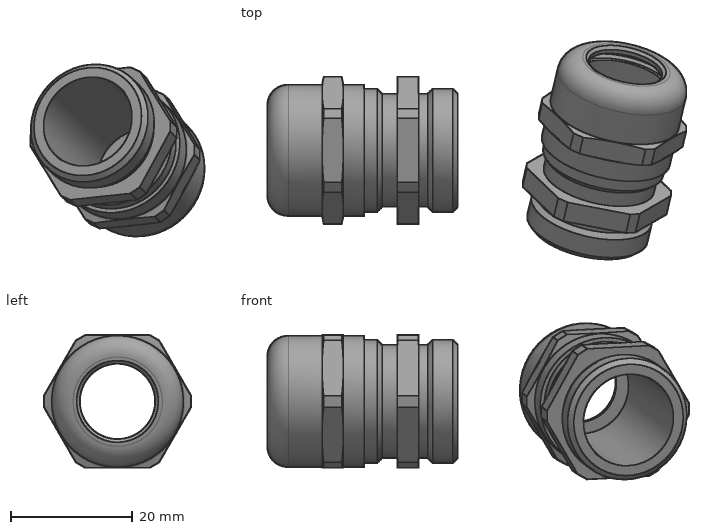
import cadquery as cq
import math


ACROSS_FLATS = 22.0
ACROSS_CORNERS = 24.33
HEX_WIDTH = 3.5

CAP_LENGTH = 16.0
CAP_RADIUS = 10.87
DOME_RADIUS = 3.5
CAP_HEX_START = 9.08
HEX_CHAMFER_DEPTH = 0.25
HEX_CHAMFER_RADIUS = ACROSS_FLATS / 2
MOUTH_RADIUS = 6.2
MOUTH_CONE_RADIUS = 6.75
MOUTH_CONE_DEPTH = 0.5
LIP_THICKNESS = 1.2
SLEEVE_RADIUS = 9.2

BODY_END = 31.5
SLEEVE_START = 2.75
BORE_RADIUS = 7.7
SEAT_RADIUS = 8.4
SEAT_DEPTH = 0.5
THREAD_RADIUS = 10.2
NECK_RADIUS = 9.36
THREAD_CHAMFER = THREAD_RADIUS - NECK_RADIUS
NECK_START = 19.0
NECK_END = 26.5
BODY_HEX_START = 21.5


def revolve_about_x(profile):
    """Turn an (axial, radial) profile once around the X axis."""
    return profile.close().revolve(360, (0, 0, 0), (1, 0, 0))


def hexagon(start):
    """Hexagonal collar with flats facing +Z and -Z and its corners cut flat."""
    to_diameter = 1 / math.cos(math.pi / 6)
    plane = cq.Workplane("YZ", origin=(start, 0, 0))
    flats = plane.polygon(6, ACROSS_FLATS * to_diameter).extrude(HEX_WIDTH)
    corner_cuts = (
        plane.transformed(rotate=(0, 0, 30))
        .polygon(6, ACROSS_CORNERS * to_diameter)
        .extrude(HEX_WIDTH)
    )
    return flats.intersect(corner_cuts)


def chamfered_hexagon(start):
    """Hexagonal collar with its corners turned conical on both faces."""
    end = start + HEX_WIDTH
    slope = (ACROSS_CORNERS / 2 - HEX_CHAMFER_RADIUS) / HEX_CHAMFER_DEPTH
    ridge_radius = HEX_CHAMFER_RADIUS + slope * HEX_WIDTH / 2
    envelope = revolve_about_x(
        cq.Workplane("XY")
        .moveTo(start, 0)
        .lineTo(start, HEX_CHAMFER_RADIUS)
        .lineTo((start + end) / 2, ridge_radius)
        .lineTo(end, HEX_CHAMFER_RADIUS)
        .lineTo(end, 0)
    )
    return hexagon(start).intersect(envelope)


def make_cap():
    shell = revolve_about_x(
        cq.Workplane("XY")
        .lineTo(0, CAP_RADIUS - DOME_RADIUS)
        .radiusArc((DOME_RADIUS, CAP_RADIUS), DOME_RADIUS)
        .lineTo(CAP_LENGTH, CAP_RADIUS)
        .lineTo(CAP_LENGTH, 0)
    )
    hollow = revolve_about_x(
        cq.Workplane("XY")
        .lineTo(0, MOUTH_CONE_RADIUS)
        .lineTo(MOUTH_CONE_DEPTH, MOUTH_RADIUS)
        .lineTo(LIP_THICKNESS, MOUTH_RADIUS)
        .lineTo(LIP_THICKNESS, SLEEVE_RADIUS)
        .lineTo(CAP_LENGTH, SLEEVE_RADIUS)
        .lineTo(CAP_LENGTH, 0)
    )
    return shell.union(chamfered_hexagon(CAP_HEX_START)).cut(hollow).solids()


def make_body():
    turned = revolve_about_x(
        cq.Workplane("XY")
        .moveTo(SLEEVE_START, 0)
        .lineTo(SLEEVE_START, SLEEVE_RADIUS)
        .lineTo(CAP_LENGTH, SLEEVE_RADIUS)
        .lineTo(CAP_LENGTH, THREAD_RADIUS)
        .lineTo(NECK_START - THREAD_CHAMFER, THREAD_RADIUS)
        .lineTo(NECK_START, NECK_RADIUS)
        .lineTo(NECK_END, NECK_RADIUS)
        .lineTo(NECK_END + THREAD_CHAMFER, THREAD_RADIUS)
        .lineTo(BODY_END - THREAD_CHAMFER, THREAD_RADIUS)
        .lineTo(BODY_END, NECK_RADIUS)
        .lineTo(BODY_END, 0)
    )
    seat_start = SLEEVE_START + SEAT_DEPTH
    bore = revolve_about_x(
        cq.Workplane("XY")
        .moveTo(SLEEVE_START, 0)
        .lineTo(SLEEVE_START, SEAT_RADIUS + SEAT_DEPTH)
        .lineTo(seat_start, SEAT_RADIUS)
        .lineTo(seat_start, BORE_RADIUS)
        .lineTo(BODY_END, BORE_RADIUS)
        .lineTo(BODY_END, 0)
    )
    return turned.union(hexagon(BODY_HEX_START)).cut(bore).solids()


cap = make_cap()
body = make_body()
result = cq.Compound.makeCompound([cap.val(), body.val()])